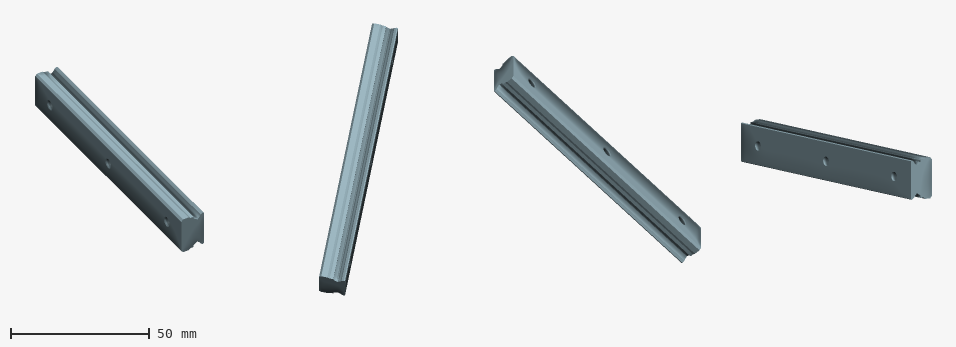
import cadquery as cq

LENGTH = 100.0
DEPTH = 9.5
HEIGHT = 15.0

FRONT_CHAMFER = 0.8
BASE_DEPTH = 3.0
SHOULDER_RUN = 0.9
SHOULDER_DROP = 0.6

GROOVE_WALL_DEPTH = 4.3
INNER_ARC_TOP = 6.2
INNER_ARC_BOTTOM = 5.3
INNER_ARC_DEPTH = 3.1
RELIEF_INNER_DEPTH = 2.9
RELIEF_OUTER_DEPTH = 2.6
RELIEF_HEIGHT = 5.1
OUTER_ARC_DEPTH = 2.2
OUTER_ARC_BOTTOM = 5.5
LIP_DEPTH = 1.3
LIP_HEIGHT = 6.6
LIP_PEAK_DEPTH = 0.4
BACK_CHAMFER_DROP = 0.25
LIP_PEAK_HEIGHT = 7.2
ARC_SAG = 0.1

HOLE_DIAMETER = 3.4
HOLE_MOUTH_DIAMETER = 4.0
HOLE_PITCH = 40.0
HOLE_COUNT = 3

FRONT_Y = -DEPTH / 2
BACK_Y = DEPTH / 2
HALF_HEIGHT = HEIGHT / 2


def make_half_rail():
    """Extrude the upper half of the profile along X."""
    base_end = FRONT_Y + BASE_DEPTH
    shoulder_end = base_end + SHOULDER_RUN
    shoulder_height = HALF_HEIGHT - SHOULDER_DROP
    groove_wall = BACK_Y - GROOVE_WALL_DEPTH
    return (
        cq.Workplane("YZ", origin=(-LENGTH / 2, 0, 0))
        .moveTo(FRONT_Y, 0)
        .lineTo(FRONT_Y, HALF_HEIGHT - FRONT_CHAMFER)
        .lineTo(FRONT_Y + FRONT_CHAMFER, HALF_HEIGHT)
        .lineTo(base_end, HALF_HEIGHT)
        .lineTo(shoulder_end, shoulder_height)
        .lineTo(groove_wall, shoulder_height)
        .lineTo(groove_wall, INNER_ARC_TOP)
        .sagittaArc((BACK_Y - INNER_ARC_DEPTH, INNER_ARC_BOTTOM), -ARC_SAG)
        .lineTo(BACK_Y - RELIEF_INNER_DEPTH, RELIEF_HEIGHT)
        .lineTo(BACK_Y - RELIEF_OUTER_DEPTH, RELIEF_HEIGHT)
        .lineTo(BACK_Y - OUTER_ARC_DEPTH, OUTER_ARC_BOTTOM)
        .sagittaArc((BACK_Y - LIP_DEPTH, LIP_HEIGHT), -ARC_SAG)
        .lineTo(BACK_Y - LIP_PEAK_DEPTH, LIP_PEAK_HEIGHT)
        .lineTo(BACK_Y, LIP_PEAK_HEIGHT - BACK_CHAMFER_DROP)
        .lineTo(BACK_Y, 0)
        .close()
        .extrude(LENGTH)
    )


def make_mounting_hole(x):
    """Revolve a through hole with a 45-degree countersunk mouth on the -Y face."""
    radius = HOLE_DIAMETER / 2
    mouth_radius = HOLE_MOUTH_DIAMETER / 2
    mouth_depth = mouth_radius - radius
    return (
        cq.Workplane("XY", origin=(x, 0, 0))
        .moveTo(0, FRONT_Y)
        .lineTo(mouth_radius, FRONT_Y)
        .lineTo(radius, FRONT_Y + mouth_depth)
        .lineTo(radius, BACK_Y)
        .lineTo(0, BACK_Y)
        .close()
        .revolve(360, (0, 0, 0), (0, 1, 0))
    )


upper_half = make_half_rail()
result = upper_half.union(upper_half.mirror("XY")).clean()
for index in range(HOLE_COUNT):
    hole_x = (index - (HOLE_COUNT - 1) / 2) * HOLE_PITCH
    result = result.cut(make_mounting_hole(hole_x))